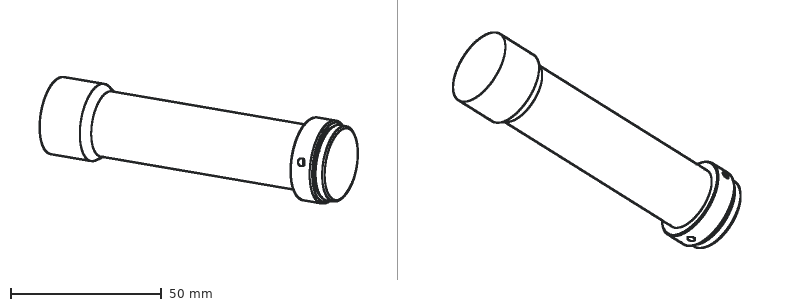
import cadquery as cq
import math

total_length = 105.9
head_length = 15.0
collar_start = 93.9
collar_end = 101.9
lip_start = 102.8

head_radius = 13.0
tube_radius = 11.0
collar_radius = 14.0
groove_radius = 12.1
lip_radius = 12.7

taper_angle = 32.0
collar_front_chamfer = 0.3
rear_chamfer = 0.6

hole_count = 3
hole_radius = 1.3
hole_tip_radius = 9.5
hole_cone_angle = 30.0
hole_cone_height = hole_radius * math.tan(math.radians(hole_cone_angle))
hole_center_x = (collar_start + collar_end) / 2
first_hole_angle = 45.0

taper_length = (head_radius - tube_radius) / math.tan(math.radians(taper_angle))


def turned_body():
    """Solid of revolution about the X axis: head, taper, tube, collar, groove and lip."""
    profile = [
        (0, 0),
        (0, head_radius),
        (head_length, head_radius),
        (head_length + taper_length, tube_radius),
        (collar_start, tube_radius),
        (collar_start, collar_radius - collar_front_chamfer),
        (collar_start + collar_front_chamfer, collar_radius),
        (collar_end - rear_chamfer, collar_radius),
        (collar_end, collar_radius - rear_chamfer),
        (collar_end, groove_radius),
        (lip_start, groove_radius),
        (lip_start, lip_radius),
        (total_length - rear_chamfer, lip_radius),
        (total_length, lip_radius - rear_chamfer),
        (total_length, 0),
    ]
    return cq.Workplane("XY").polyline(profile).close().revolve(360, (0, 0, 0), (1, 0, 0))


def hole_cutter(angle):
    """Drill shape with a pointed tip, entering the collar radially."""
    cutter = (
        cq.Workplane("XY")
        .moveTo(0, hole_tip_radius)
        .lineTo(hole_radius, hole_tip_radius + hole_cone_height)
        .lineTo(hole_radius, collar_radius + hole_radius)
        .lineTo(0, collar_radius + hole_radius)
        .close()
        .revolve(360, (0, 0, 0), (0, 1, 0))
    )
    return cutter.translate((hole_center_x, 0, 0)).rotate((0, 0, 0), (1, 0, 0), angle)


result = turned_body()
for index in range(hole_count):
    result = result.cut(hole_cutter(first_hole_angle + index * 360 / hole_count))